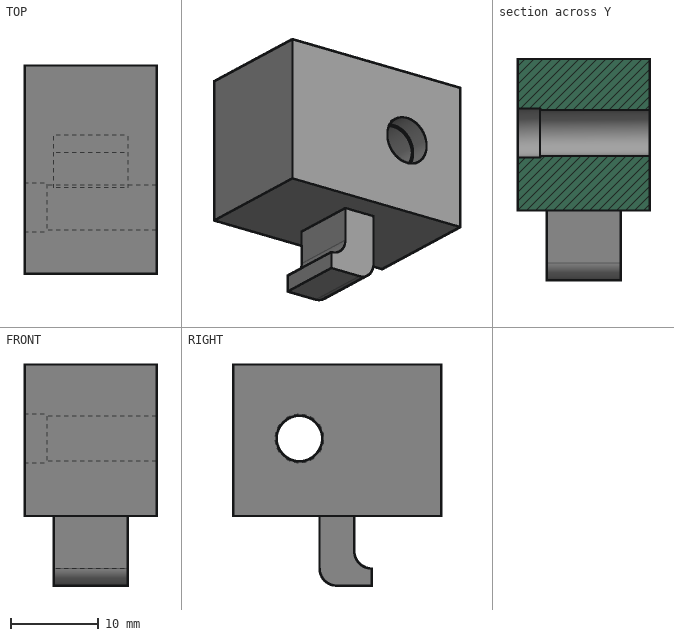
import cadquery as cq

block_width = 15.2
block_length = 23.92
block_height = 17.4

hook_width = 8.5
hook_drop = 8.0
shank_thickness = 4.0
lip_height = 2.0
bend_radius = 2.0
hook_tip_inset = 8.0

bore_diameter = 5.2
entry_diameter = 5.6
entry_depth = 2.6
hole_inset = 7.62
hole_height = 8.9


def make_block():
    return cq.Workplane("XY").box(
        block_width, block_length, block_height, centered=(True, True, False)
    )


def make_hook():
    tip_y = block_length / 2 - hook_tip_inset
    shank_back_y = tip_y - bend_radius
    shank_front_y = shank_back_y - shank_thickness
    foot_z = -hook_drop
    lip_z = foot_z + lip_height
    return (
        cq.Workplane("YZ")
        .moveTo(shank_front_y, 0)
        .lineTo(shank_back_y, 0)
        .lineTo(shank_back_y, lip_z + bend_radius)
        .radiusArc((tip_y, lip_z), -bend_radius)
        .lineTo(tip_y, foot_z)
        .lineTo(shank_front_y + bend_radius, foot_z)
        .radiusArc((shank_front_y, foot_z + bend_radius), bend_radius)
        .close()
        .extrude(hook_width / 2, both=True)
    )


def make_hole_cylinder(diameter, depth):
    """Cylinder on the hole axis, running into the block from its -X face."""
    hole_y = hole_inset - block_length / 2
    return (
        cq.Workplane("YZ", origin=(-block_width / 2, hole_y, hole_height))
        .circle(diameter / 2)
        .extrude(depth)
    )


bore = make_hole_cylinder(bore_diameter, block_width)
entry = make_hole_cylinder(entry_diameter, entry_depth)

result = make_block().union(make_hook()).cut(bore).cut(entry)